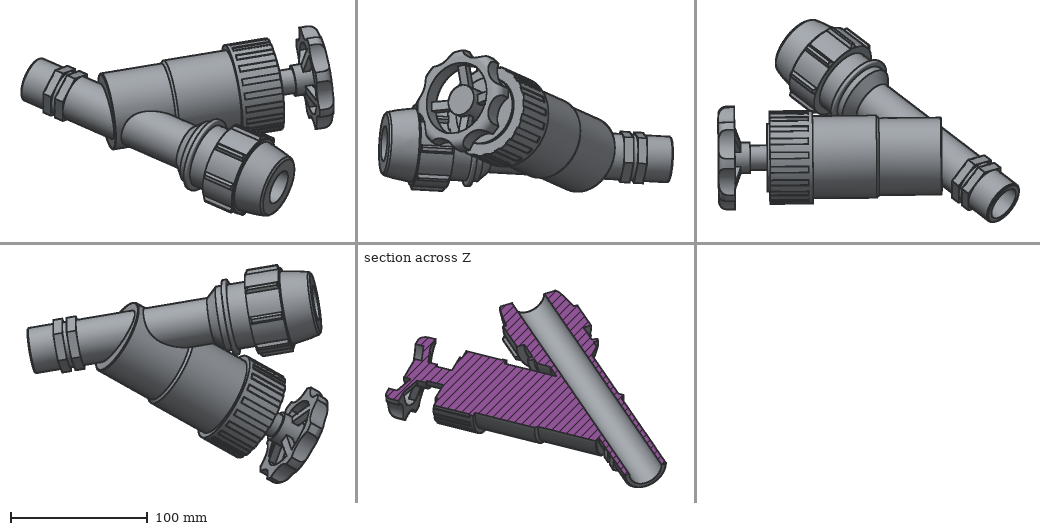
import cadquery as cq
import math

length = 212.0
pipe_dia = 33.7
bore_dia = 25.7
pipe_end_chamfer = 0.8

hex_spans = [(19.5, 26.3), (29.5, 36.5)]
hex_flats = 34.0

cone_start = 134.2
collar_start = 141.8
collar_dia = 48.0
flange_start = 147.0
flange_thickness = 3.4
flange_dia = 55.8
flange_edge_radius = 0.8
nut_start = 165.0
nut_end = 190.5
nut_dia = 59.8
nut_chamfer = 0.6
tail_start_dia = 54.3
tail_mid_dia = 51.0
tail_end_dia = 46.6
tail_end_chamfer = 1.5
rib_count = 8
rib_base_width = 6.4
rib_top_width = 2.5
rib_tip_radius = 32.5
rib_root_depth = 1.0
rib_end_slope = 2.0
rib_far_slope = 0.8

branch_x = 63.5
branch_angle = 45.0
seat_dia = 56.5
seat_edge_chamfer = 0.6
body_start = 45.8
body_dia = 60.5
bonnet_start = 94.3
bonnet_end = 125.7
bonnet_dia = 68.0
groove_count = 20
groove_width = 4.7
groove_depth = 0.8
plain_band = 3.2
groove_floor = bonnet_start + plain_band
cap_end = 127.6
cap_dia = 49.8
stem_dia = 18.2
hub_start = 140.1
hub_end = 157.5
hub_dia = 22.7

wheel_bottom = 151.4
wheel_top = 163.2
wheel_radius = 37.7
rim_inner_radius = 26.7
rim_fillet = 6.1
lobe_count = 8
lobe_tip_width = 7.2
scallop_radius_min = 31.5
spoke_count = 4
spoke_width = 6.8
spoke_embed = 1.0
spoke_depth = 5.5
spoke_hub_bottom = 147.0


def disc(plane, start, end, diameter):
    """Cylinder between two heights along the normal of a plane."""
    return cq.Workplane(plane).workplane(offset=start).circle(diameter / 2).extrude(end - start)


def polar(radius, degrees):
    angle = math.radians(degrees)
    return (radius * math.cos(angle), radius * math.sin(angle))


pipe_plane = cq.Plane.YZ()
slant = math.radians(branch_angle)
branch_plane = cq.Plane(
    origin=(branch_x, 0, 0),
    xDir=(-math.sin(slant), math.cos(slant), 0),
    normal=(math.cos(slant), math.sin(slant), 0),
)


def make_pipe():
    pipe = disc(pipe_plane, 0, nut_start, pipe_dia).faces("<X").chamfer(pipe_end_chamfer)
    for start, end in hex_spans:
        corner_dia = hex_flats / math.cos(math.pi / 6)
        hexagon = (
            cq.Workplane(pipe_plane)
            .workplane(offset=start)
            .transformed(rotate=(0, 0, 90))
            .polygon(6, corner_dia)
            .extrude(end - start)
        )
        pipe = pipe.union(hexagon)
    return pipe


def make_nut_ribs():
    """Tapered ribs around the nut, each with sloped ends."""
    root_radius = nut_dia / 2 - rib_root_depth
    rib_end = nut_end - nut_chamfer
    section = [
        (root_radius, -rib_base_width / 2),
        (rib_tip_radius, -rib_top_width / 2),
        (rib_tip_radius, rib_top_width / 2),
        (root_radius, rib_base_width / 2),
    ]
    rib = cq.Workplane(pipe_plane).workplane(offset=nut_start).polyline(section).close()
    rib = rib.extrude(rib_end - nut_start)
    slope_top = math.hypot(rib_tip_radius, rib_top_width / 2)
    envelope = (
        cq.Workplane("XY")
        .moveTo(nut_start, 0)
        .lineTo(nut_start, nut_dia / 2)
        .lineTo(nut_start + rib_end_slope, slope_top)
        .lineTo(rib_end - rib_far_slope, slope_top)
        .lineTo(rib_end, nut_dia / 2)
        .lineTo(rib_end, 0)
        .close()
        .revolve(360, (0, 0, 0), (1, 0, 0))
    )
    rib_pitch = 360 / rib_count
    ribs = cq.Workplane("XY")
    for index in range(rib_count):
        ribs = ribs.union(rib.rotate((0, 0, 0), (1, 0, 0), (index + 0.5) * rib_pitch))
    return ribs.intersect(envelope)


def make_fitting():
    collar = (
        cq.Workplane("XY")
        .moveTo(cone_start, 0)
        .lineTo(cone_start, pipe_dia / 2)
        .lineTo(collar_start, collar_dia / 2)
        .lineTo(nut_start, collar_dia / 2)
        .lineTo(nut_start, 0)
        .close()
        .revolve(360, (0, 0, 0), (1, 0, 0))
    )
    flange = disc(pipe_plane, flange_start, flange_start + flange_thickness, flange_dia)
    flange = flange.edges().fillet(flange_edge_radius)
    nut = disc(pipe_plane, nut_start, nut_end, nut_dia).faces(">X").chamfer(nut_chamfer)
    tail = (
        cq.Workplane("XY")
        .moveTo(nut_end, 0)
        .lineTo(nut_end, tail_start_dia / 2)
        .threePointArc(((nut_end + length) / 2, tail_mid_dia / 2),
                       (length - tail_end_chamfer, tail_end_dia / 2))
        .lineTo(length, tail_end_dia / 2 - tail_end_chamfer)
        .lineTo(length, 0)
        .close()
        .revolve(360, (0, 0, 0), (1, 0, 0))
    )
    return collar.union(flange).union(nut).union(tail).union(make_nut_ribs())


def make_bonnet_nut():
    nut = disc(branch_plane, bonnet_start, bonnet_end, bonnet_dia)
    grooves = (
        cq.Workplane(branch_plane)
        .workplane(offset=groove_floor)
        .polarArray(bonnet_dia / 2, 0, 360, groove_count)
        .rect(2 * groove_depth, groove_width)
        .extrude(bonnet_end - groove_floor)
    )
    return nut.cut(grooves)


def make_branch():
    body_chamfer = (body_dia - seat_dia) / 2
    lowest = cq.selectors.DirectionMinMaxSelector(branch_plane.zDir, False)
    seat = disc(branch_plane, 0, body_start, seat_dia).faces(lowest).chamfer(seat_edge_chamfer)
    body = disc(branch_plane, body_start, bonnet_start, body_dia)
    body = body.faces(lowest).chamfer(body_chamfer)
    branch = seat.union(body).union(make_bonnet_nut())
    branch = branch.union(disc(branch_plane, bonnet_end, cap_end, cap_dia))
    branch = branch.union(disc(branch_plane, cap_end, hub_start, stem_dia))
    return branch.union(disc(branch_plane, hub_start, hub_end, hub_dia))


def make_rim():
    """Scalloped ring with its outer top edge rounded over."""
    pitch = 360 / lobe_count
    tip_angle = math.degrees(math.asin(lobe_tip_width / 2 / wheel_radius))
    outline = cq.Workplane(branch_plane).workplane(offset=wheel_bottom)
    outline = outline.moveTo(*polar(wheel_radius, -tip_angle))
    for index in range(lobe_count):
        lobe = index * pitch
        outline = outline.threePointArc(polar(wheel_radius, lobe), polar(wheel_radius, lobe + tip_angle))
        outline = outline.threePointArc(
            polar(scallop_radius_min, lobe + pitch / 2),
            polar(wheel_radius, lobe + pitch - tip_angle),
        )
    rim = outline.close().extrude(wheel_top - wheel_bottom)
    top = cq.selectors.DirectionMinMaxSelector(branch_plane.zDir, True)
    rounded = disc(branch_plane, wheel_bottom, wheel_top, 2 * wheel_radius)
    rounded = rounded.faces(top).edges().fillet(rim_fillet)
    opening = disc(branch_plane, wheel_bottom, wheel_top, 2 * rim_inner_radius)
    return rim.intersect(rounded).cut(opening)


def make_spokes():
    """Radial webs of constant depth that slope down toward the hub."""
    web_plane = cq.Plane(origin=(0, 0, 0), xDir=(1, 0, 0), normal=(0, -1, 0))
    outer = rim_inner_radius + spoke_embed
    web = (
        cq.Workplane(web_plane)
        .moveTo(0, spoke_hub_bottom)
        .lineTo(hub_dia / 2, spoke_hub_bottom)
        .lineTo(rim_inner_radius, wheel_bottom)
        .lineTo(outer, wheel_bottom)
        .lineTo(outer, wheel_bottom + spoke_depth)
        .lineTo(rim_inner_radius, wheel_bottom + spoke_depth)
        .lineTo(hub_dia / 2, spoke_hub_bottom + spoke_depth)
        .lineTo(0, spoke_hub_bottom + spoke_depth)
        .close()
        .extrude(spoke_width / 2, both=True)
    )
    spokes = cq.Workplane("XY")
    for index in range(spoke_count):
        spokes = spokes.union(web.rotate((0, 0, 0), (0, 0, 1), index * 360 / spoke_count))
    return cq.Workplane(obj=spokes.val().moved(cq.Location(branch_plane)))


bore = disc(pipe_plane, 0, length, bore_dia)
result = make_pipe().union(make_fitting()).union(make_branch())
result = result.union(make_rim()).union(make_spokes()).cut(bore)